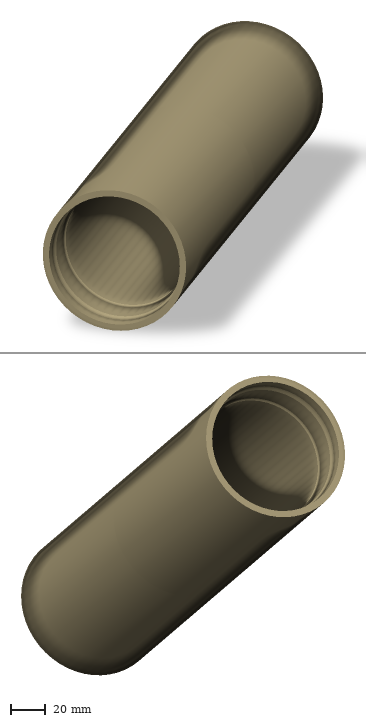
import cadquery as cq

length = 300.0
outer_radius = 85.0 / 2

mouth_radius = 38.7
step_radius = 37.5
core_radius = 36.5
mouth_depth = 8.0
mouth_cone_length = 3.0
step_length = 16.0
core_cone_length = 1.5

end = length / 2
mouth_end = end - mouth_depth
step_start = mouth_end - mouth_cone_length
step_end = step_start - step_length
core_start = step_end - core_cone_length

half_section = [
    (outer_radius, 0),
    (outer_radius, end),
    (mouth_radius, end),
    (mouth_radius, mouth_end),
    (step_radius, step_start),
    (step_radius, step_end),
    (core_radius, core_start),
    (core_radius, 0),
]

half_tube = cq.Workplane("XY").polyline(half_section).close().revolve(360, (0, 0, 0), (0, 1, 0))
result = half_tube.union(half_tube.mirror("XZ")).clean()